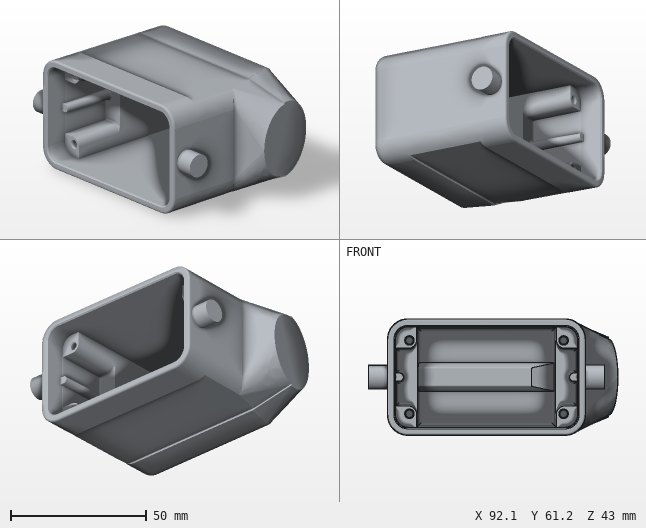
import cadquery as cq
import math

overall_length = 92.1

rim_width = 73.1
rim_height = 43.0
body_depth = 57.3
corner_radius = 7.55
side_draft = 0.41
back_fillet = 3.2
rim_fillet = 0.8

panel_start = 12.9
panel_end = 43.2
panel_half_height = 20.4

pin_span = 87.1
pin_radius = 4.4
pin_setback = 6.1

boss_angle = 15
boss_diameter = 28.2
boss_length = 15.7
boss_reach = overall_length - pin_span / 2
boss_end_y = 47.6
boss_root_height = 42.2
boss_root_radius = 3.3
boss_step = 0.6
boss_step_offset = 0.4
notch_y = 33.6

wall = 2.9
mouth_half_height = rim_height / 2 - wall
mouth_radius = 4.8
mouth_chamfer = 0.5
post_face = 8.6
post_inner_x = 25.8
pocket_floor = 28.6
pocket_half_width = 33.4
pocket_half_height = 10.7
pocket_draft = 1.3
post_corner_radius = 3.0
pocket_fillet = 0.7
cavity_floor = 53.9
cavity_draft = 0.8
floor_fillet = 1.1

rib_face = 7.4
rib_radius = 1.5
rib_tip_x = 30.7
rib_draft = 1

screw_x = 28.5
screw_z = 13.5
screw_radius = 1.4
screw_chamfer = 0.4
screw_depth = 11.05

ridge_base_half = 5.3
ridge_top_half = 3.4
ridge_height = 3.7
ridge_ramp_start = 16.6
ridge_fillet = 0.55


def depth_plane(y):
    """Work plane facing +Y at the given depth."""
    return cq.Workplane(cq.Plane(origin=(0, y, 0), xDir=(1, 0, 0), normal=(0, 1, 0)))


def drafted_block(x_half, z_half, end, draft):
    """Block from the post faces to the given depth, narrowing by the draft angle."""
    return depth_plane(post_face).rect(2 * x_half, 2 * z_half).extrude(end - post_face, taper=draft)


def make_body():
    taper = math.degrees(math.atan(side_draft / body_depth))
    outline = cq.Sketch().rect(rim_width, rim_height).vertices().fillet(corner_radius)
    body = depth_plane(0).placeSketch(outline).extrude(body_depth, taper=taper)
    return body.faces(">Y").edges().fillet(back_fillet).faces("<Y").edges().fillet(rim_fillet)


def cut_panels(body):
    for side in (-1, 1):
        panel = cq.Workplane("XY").box(
            rim_width, panel_end - panel_start, rim_height, centered=(True, False, True)
        )
        body = body.cut(panel.translate((0, panel_start, side * (panel_half_height + rim_height / 2))))
    return body


axis_x = math.cos(math.radians(boss_angle))
axis_y = math.sin(math.radians(boss_angle))
boss_end_x = boss_reach - boss_diameter / 2 * axis_y
root_x = boss_end_x - boss_length * axis_x
root_y = boss_end_y - boss_length * axis_y
root_plane = cq.Plane(origin=(root_x, root_y, 0), xDir=(-axis_y, axis_x, 0), normal=(axis_x, axis_y, 0))


def boss_frustum(inset):
    """Square-to-round transition: four flat triangles joined by four curved corners."""
    root_half_x = boss_diameter / 2
    root_half_y = boss_root_height / 2 - inset
    flat_x = root_half_x - boss_root_radius
    flat_y = root_half_y - boss_root_radius
    end_half_x = boss_diameter / 2
    end_half_y = boss_diameter / 2 + boss_step - inset
    diagonal = math.sqrt(0.5)
    corner_x = flat_x + boss_root_radius * diagonal
    corner_y = flat_y + boss_root_radius * diagonal

    def root_point(x, y):
        return cq.Vector(x, y, 0)

    def end_point(x, y):
        return cq.Vector(x * end_half_x, y * end_half_y, boss_length)

    faces = []
    root_edges = []
    end_edges = []
    for sx in (-1, 1):
        for sy in (-1, 1):
            root_arc = cq.Edge.makeThreePointArc(
                root_point(sx * root_half_x, sy * flat_y),
                root_point(sx * corner_x, sy * corner_y),
                root_point(sx * flat_x, sy * root_half_y),
            )
            end_arc = cq.Edge.makeThreePointArc(
                end_point(sx, 0), end_point(sx * diagonal, sy * diagonal), end_point(0, sy)
            )
            faces.append(cq.Face.makeRuledSurface(root_arc, end_arc))
            root_edges.append(root_arc)
            end_edges.append(end_arc)
    for s in (-1, 1):
        triangles = [
            (root_point(s * root_half_x, -flat_y), root_point(s * root_half_x, flat_y), end_point(s, 0)),
            (root_point(-flat_x, s * root_half_y), root_point(flat_x, s * root_half_y), end_point(0, s)),
        ]
        for corners in triangles:
            faces.append(cq.Face.makeFromWires(cq.Wire.makePolygon(corners, close=True)))
            root_edges.append(cq.Edge.makeLine(corners[0], corners[1]))
    for edges in (root_edges, end_edges):
        faces.append(cq.Face.makeFromWires(cq.Wire.combine(edges)[0]))
    solid = cq.Solid.makeSolid(cq.Shell.makeShell(faces))
    return cq.Workplane(root_plane).newObject([solid.fix().moved(cq.Location(root_plane))])


def make_boss():
    back_half = (
        cq.Workplane(root_plane)
        .center(boss_diameter / 2 - boss_step_offset, 0)
        .rect(boss_diameter, 2 * boss_root_height)
        .extrude(boss_length)
    )
    return boss_frustum(boss_step).union(boss_frustum(0).intersect(back_half))


def clear_boss_corner(body):
    """Remove the body corner in front of the boss root."""
    def root_line_x(y):
        return root_x - (y - root_y) * math.tan(math.radians(boss_angle))

    outer_x = rim_width
    notch_x = root_line_x(notch_y)
    notch = (
        cq.Workplane("XY")
        .moveTo(root_line_x(2 * body_depth), 2 * body_depth)
        .lineTo(notch_x, notch_y)
        .lineTo(outer_x, notch_y - (outer_x - notch_x))
        .lineTo(outer_x, 2 * body_depth)
        .close()
        .extrude(rim_height, both=True)
    )
    return body.cut(notch)


def make_pins():
    return (
        cq.Workplane("YZ", origin=(-pin_span / 2, pin_setback, 0)).circle(pin_radius).extrude(pin_span)
    )


def make_ridge():
    """Flat-topped ridge with sloped sides that ramps down to the floor at its +X end."""
    top = cavity_floor - ridge_height
    ridge = (
        cq.Workplane("YZ", origin=(-post_inner_x, 0, 0))
        .polyline([
            (cavity_floor, -ridge_base_half),
            (top, -ridge_top_half),
            (top, ridge_top_half),
            (cavity_floor, ridge_base_half),
        ])
        .close()
        .extrude(2 * post_inner_x)
    )
    ramp = (
        cq.Workplane("XY")
        .polyline([(ridge_ramp_start, top), (post_inner_x, top), (post_inner_x, cavity_floor)])
        .close()
        .extrude(ridge_base_half, both=True)
    )
    ridge = ridge.cut(ramp)
    return ridge.faces("<Y").edges("|X").fillet(ridge_fillet)


def make_rib(side):
    """Half-round rib that thickens towards the pocket floor."""
    centre_x = rib_tip_x + rib_radius
    root_width = rim_width / 2 - centre_x
    root_x_centre = centre_x + root_width / 2
    outline = (
        cq.Sketch()
        .push([(side * centre_x, 0)])
        .circle(rib_radius)
        .reset()
        .push([(side * root_x_centre, 0)])
        .rect(root_width, 2 * rib_radius)
        .clean()
    )
    return depth_plane(rib_face).placeSketch(outline).extrude(pocket_floor - rib_face, taper=-rib_draft)


def make_mouth():
    """Opening between the rim and the post faces, with its small lead-in chamfer."""
    width = rim_width - 2 * wall
    outline = cq.Sketch().rect(width, 2 * mouth_half_height).vertices().fillet(mouth_radius)
    mouth = depth_plane(0).placeSketch(outline).extrude(post_face, taper=cavity_draft)
    flare_outline = (
        cq.Sketch()
        .rect(width + 2 * mouth_chamfer, 2 * (mouth_half_height + mouth_chamfer))
        .vertices()
        .fillet(mouth_radius + mouth_chamfer)
    )
    flare = depth_plane(0).placeSketch(flare_outline).extrude(mouth_chamfer, taper=45)
    return mouth.union(flare)


def make_well_and_pockets():
    well_half_height = mouth_half_height - post_face * math.tan(math.radians(cavity_draft))
    well = drafted_block(post_inner_x, well_half_height, cavity_floor, cavity_draft)
    well = well.faces(">Y").edges().fillet(floor_fillet)
    pockets = drafted_block(pocket_half_width, pocket_half_height, pocket_floor, pocket_draft)
    for side in (-1, 1):
        pockets = pockets.cut(make_rib(side))
    hollow = well.union(pockets)

    margin = 0.55
    post_corners = cq.selectors.BoxSelector(
        (-post_inner_x - margin, post_face + margin, -pocket_half_height - margin),
        (post_inner_x + margin, pocket_floor - margin, pocket_half_height + margin),
    )
    hollow = hollow.edges(post_corners).fillet(post_corner_radius)
    for side in (-1, 1):
        near_x = side * (post_inner_x + margin)
        far_x = side * rim_width / 2
        floor_edges = cq.selectors.BoxSelector(
            (near_x, pocket_floor - margin, -mouth_half_height),
            (far_x, pocket_floor + margin, mouth_half_height),
        )
        hollow = hollow.edges(floor_edges).fillet(pocket_fillet)
    return hollow


def make_cavity():
    cavity = make_mouth().union(make_well_and_pockets()).cut(make_ridge())
    for side in (-1, 1):
        cavity = cavity.cut(make_rib(side))
    return cavity


def make_screw_holes():
    centres = [(x, z) for x in (-screw_x, screw_x) for z in (-screw_z, screw_z)]
    holes = depth_plane(post_face).pushPoints(centres).circle(screw_radius).extrude(screw_depth)
    mouths = depth_plane(post_face).pushPoints(centres).circle(screw_radius + screw_chamfer)
    return holes.union(mouths.extrude(screw_chamfer, taper=45))


hood = clear_boss_corner(cut_panels(make_body()))
hood = hood.union(make_boss()).union(make_pins())
result = hood.cut(make_cavity()).cut(make_screw_holes())